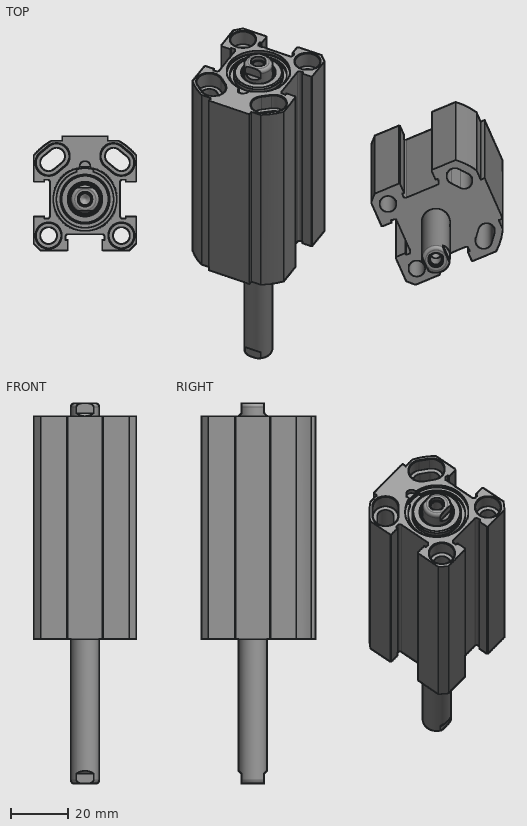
import cadquery as cq
import math

housing_length = 78.0
housing_half_width = 18.0
slot_half_width = 6.0
slot_mouth_chamfer = 0.3
slot_floor = 12.3
relief_reach = 0.75
relief_radius = 0.8
relief_height = 1.9
corner_chamfer = 2.5
shoulder_radius = 23.6
shoulder_y = 20.5
port_pad_y = 22.0
port_pad_half_width = 8.0

bolt_circle_radius = 18.0
bolt_hole_diameter = 5.8
counterbore_diameter = 8.8
counterbore_depth = 6.0
counterbore_chamfer = 0.25
round_hole_angles = (225, 315)
slotted_hole_angles = ((123.5, 135), (56.5, 45))

rod_diameter = 10.0
rod_top = housing_length + 4.5
rod_bottom = -50.5
rod_end_fillet = 1.3
flat_half_distance = 4.0
flat_length = 3.5
rod_hole_diameter = 4.13
rod_hole_mouth_diameter = 5.25
rod_hole_mouth_depth = 1.6
rod_hole_depth = 10.0
drill_point_angle = 118.0

chamfer_angle = 45.0

mouth_diameter = 22.2
ring_outer_diameter = 22.8
ring_inner_diameter = 20.0
ring_depth = 1.5
ring_thickness = 1.0
ring_gap = 5.8
notch_width = 3.8
notch_reach = 13.3
notch_depth = ring_depth + ring_thickness / 2

collar_diameter = 21.6
collar_length = 12.0
boss_diameter = 17.3
boss_top_diameter = 16.3
boss_depth = 0.5
boss_chamfer = (boss_diameter - boss_top_diameter) / 2
wiper_seat_diameter = 11.4
wiper_seat_depth = 1.0
wiper_seat_chamfer = 0.4
clearance_bore_diameter = 10.48
clearance_bore_depth = 3.0

ring_top = housing_length - ring_depth
ring_bottom = ring_top - ring_thickness
collar_bottom = ring_bottom - collar_length
boss_top = housing_length - boss_depth
wiper_seat_bottom = boss_top - wiper_seat_depth
clearance_bottom = boss_top - clearance_bore_depth


def on_circle(radius, angle):
    """Point at a polar angle, in degrees, around the rod axis."""
    return (radius * math.cos(math.radians(angle)), radius * math.sin(math.radians(angle)))


def cylinder(diameter, bottom, top):
    return cq.Workplane("XY").workplane(offset=bottom).circle(diameter / 2).extrude(top - bottom)


def flared(tool, chamfer):
    """Cutting tool widened at its top face, so that it leaves a chamfered mouth."""
    flare = (
        tool.faces(">Z")
        .wires()
        .toPending()
        .workplane()
        .offset2D(chamfer)
        .extrude(-chamfer, taper=chamfer_angle)
    )
    return tool.union(flare)


def housing_blank():
    shoulder_x = math.sqrt(shoulder_radius**2 - shoulder_y**2)
    shoulder_end_y = math.sqrt(shoulder_radius**2 - housing_half_width**2)
    shoulder_angle = math.degrees(
        (math.atan2(shoulder_y, shoulder_x) + math.atan2(shoulder_end_y, housing_half_width)) / 2
    )
    shoulder_mid = on_circle(shoulder_radius, shoulder_angle)
    chamfer_start = housing_half_width - corner_chamfer
    right_half = (
        cq.Workplane("XY")
        .moveTo(0, -housing_half_width)
        .lineTo(chamfer_start, -housing_half_width)
        .lineTo(housing_half_width, -chamfer_start)
        .lineTo(housing_half_width, shoulder_end_y)
        .threePointArc(shoulder_mid, (shoulder_x, shoulder_y))
        .lineTo(port_pad_half_width, shoulder_y)
        .lineTo(port_pad_half_width, port_pad_y)
        .lineTo(0, port_pad_y)
        .close()
        .extrude(housing_length)
    )
    return right_half.union(right_half.mirror("YZ"))


def side_slot(angle):
    """Open slot, undercut beside its floor and chamfered at its mouth, turned about the rod axis."""
    undercut_half_width = slot_half_width + relief_reach
    undercut_end = slot_floor + relief_height
    round_centre = (slot_floor + relief_radius, undercut_half_width - relief_radius)
    round_offset = relief_radius * math.sqrt(0.5)
    upper_half = (
        cq.Workplane("XY")
        .moveTo(slot_floor, 0)
        .lineTo(slot_floor, round_centre[1])
        .threePointArc(
            (round_centre[0] - round_offset, round_centre[1] + round_offset),
            (round_centre[0], undercut_half_width),
        )
        .lineTo(undercut_end, undercut_half_width)
        .lineTo(undercut_end, slot_half_width)
        .lineTo(housing_half_width - slot_mouth_chamfer, slot_half_width)
        .lineTo(housing_half_width, slot_half_width + slot_mouth_chamfer)
        .lineTo(housing_half_width, 0)
        .close()
        .extrude(housing_length)
    )
    slot = upper_half.union(upper_half.mirror("XZ"))
    return slot.rotate((0, 0, 0), (0, 0, 1), angle)


def slotted_cut(ends, diameter, bottom):
    """Straight slot between two points of the bolt circle, open at the top."""
    start, end = (on_circle(bolt_circle_radius, angle) for angle in ends)
    span_x = end[0] - start[0]
    span_y = end[1] - start[1]
    return (
        cq.Workplane("XY")
        .workplane(offset=bottom)
        .center((start[0] + end[0]) / 2, (start[1] + end[1]) / 2)
        .slot2D(math.hypot(span_x, span_y) + diameter, diameter, math.degrees(math.atan2(span_y, span_x)))
        .extrude(housing_length - bottom)
    )


def round_cut(angle, diameter, bottom):
    return cylinder(diameter, bottom, housing_length).translate(on_circle(bolt_circle_radius, angle))


def plier_notch():
    notch_radius = notch_width / 2
    notch_centre_y = notch_reach - notch_radius
    return (
        cq.Workplane("XY")
        .workplane(offset=housing_length - notch_depth)
        .moveTo(notch_radius, 0)
        .lineTo(notch_radius, notch_centre_y)
        .threePointArc((0, notch_reach), (-notch_radius, notch_centre_y))
        .lineTo(-notch_radius, 0)
        .close()
        .extrude(notch_depth)
    )


def make_housing():
    body = housing_blank()
    for angle in (0, 180, 270):
        body = body.cut(side_slot(angle))
    counterbore_floor = housing_length - counterbore_depth
    for angle in round_hole_angles:
        body = body.cut(round_cut(angle, bolt_hole_diameter, 0))
        counterbore = round_cut(angle, counterbore_diameter, counterbore_floor)
        body = body.cut(flared(counterbore, counterbore_chamfer))
    for ends in slotted_hole_angles:
        body = body.cut(slotted_cut(ends, bolt_hole_diameter, 0))
        counterbore = slotted_cut(ends, counterbore_diameter, counterbore_floor)
        body = body.cut(flared(counterbore, counterbore_chamfer))
    body = body.cut(cylinder(rod_diameter, 0, housing_length))
    body = body.cut(cylinder(collar_diameter, collar_bottom, ring_bottom))
    body = body.cut(cylinder(ring_outer_diameter, ring_bottom, ring_top))
    body = body.cut(cylinder(mouth_diameter, ring_top, housing_length))
    return body.cut(plier_notch())


def wrench_flat_cut():
    """Profile removed on the +Y side of the upper rod end, with a 45 degree run-out."""
    rod_radius = rod_diameter / 2
    runout = rod_radius - flat_half_distance
    flat_end = rod_top - flat_length
    return (
        cq.Workplane("YZ")
        .moveTo(flat_half_distance, rod_top)
        .lineTo(flat_half_distance, flat_end)
        .lineTo(rod_radius, flat_end - runout)
        .lineTo(rod_radius, rod_top)
        .close()
        .extrude(rod_radius, both=True)
    )


def rod_hole():
    """Drilled hole with a wider stepped mouth and a conical drill point."""
    hole_radius = rod_hole_diameter / 2
    mouth_radius = rod_hole_mouth_diameter / 2
    mouth_bottom = rod_top - rod_hole_mouth_depth
    hole_bottom = rod_top - rod_hole_depth
    point_length = hole_radius / math.tan(math.radians(drill_point_angle / 2))
    return (
        cq.Workplane("XZ")
        .moveTo(0, rod_top)
        .lineTo(mouth_radius, rod_top)
        .lineTo(mouth_radius, mouth_bottom)
        .lineTo(hole_radius, mouth_bottom)
        .lineTo(hole_radius, hole_bottom)
        .lineTo(0, hole_bottom - point_length)
        .close()
        .revolve(360, (0, 0, 0), (0, 1, 0))
    )


def make_rod():
    rod = cylinder(rod_diameter, rod_bottom, rod_top).edges("%CIRCLE").fillet(rod_end_fillet)
    upper_cut = wrench_flat_cut().union(wrench_flat_cut().mirror("XZ"))
    upper_cut = upper_cut.union(rod_hole())
    middle = (rod_top + rod_bottom) / 2
    return rod.cut(upper_cut).cut(upper_cut.mirror("XY", (0, 0, middle)))


def make_collar():
    """Flanged guide bush: wide below the ring, with a chamfered boss inside the ring."""
    flange = cylinder(collar_diameter, collar_bottom, ring_bottom)
    boss = cylinder(boss_diameter, ring_bottom, boss_top).faces(">Z").chamfer(boss_chamfer)
    collar = flange.union(boss).cut(cylinder(rod_diameter, collar_bottom, boss_top))
    collar = collar.cut(cylinder(clearance_bore_diameter, clearance_bottom, boss_top))
    wiper_seat = cylinder(wiper_seat_diameter, wiper_seat_bottom, boss_top)
    return collar.cut(flared(wiper_seat, wiper_seat_chamfer))


def make_ring():
    """Open retaining ring with its gap on the +Y side."""
    ring = cylinder(ring_outer_diameter, ring_bottom, ring_top)
    ring = ring.cut(cylinder(ring_inner_diameter, ring_bottom, ring_top))
    gap = (
        cq.Workplane("XY")
        .workplane(offset=ring_bottom)
        .center(0, ring_outer_diameter / 2)
        .rect(ring_gap, ring_outer_diameter)
        .extrude(ring_thickness)
    )
    return ring.cut(gap)


housing = make_housing()
rod = make_rod()
collar = make_collar()
retaining_ring = make_ring()

result = cq.Compound.makeCompound([housing.val(), rod.val(), collar.val(), retaining_ring.val()])